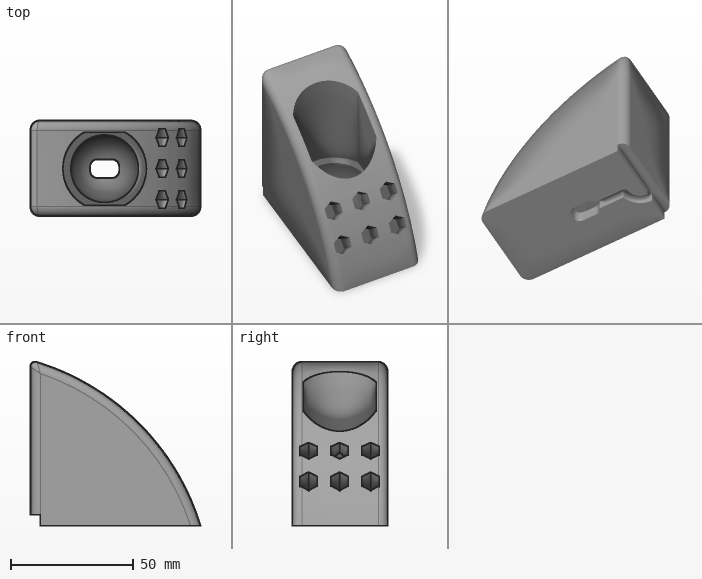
import cadquery as cq
import math

BODY_LENGTH = 69.79
BODY_WIDTH = 39.3
ARCH_RADIUS = 101.6
ARCH_CENTER_X = -27.32
ARCH_CENTER_Z = -math.sqrt(ARCH_RADIUS**2 - (BODY_LENGTH - ARCH_CENTER_X) ** 2)

SIDE_FILLET = 4.0
CREST_FILLET = 2.0

REBATE_DEPTH = 4.0
REBATE_HEIGHT = 4.5

WELL_X = 30.44
WELL_Y = -0.15
WELL_RADIUS = 17.1
WELL_FLATS = 30.0
BOWL_RADIUS = 13.85
BOWL_FLOOR = 5.0
WELL_FLOOR_Z = BOWL_FLOOR + BOWL_RADIUS
SLOT_LENGTH = 11.8
SLOT_WIDTH = 7.5
SLOT_CORNER = 2.8

SOCKET_SIDES = 6
SOCKET_FLATS = 7.1
SOCKET_TILT = 45.0
SOCKET_DEPTH = 10.0
SOCKET_PITCH_Y = 12.7
SOCKET_COLUMNS_X = (54.1, 62.1)
SOCKET_OVERSHOOT = 10.0

GROOVE_WIDTH = 3.6
GROOVE_START_Y = -7.3
GROOVE_BEND_RADIUS = 8.0
GROOVE_HEIGHT = REBATE_HEIGHT


def arch_height(x):
    """Height of the arched surface above the base at a given X."""
    return ARCH_CENTER_Z + math.sqrt(ARCH_RADIUS**2 - (x - ARCH_CENTER_X) ** 2)


def make_body():
    """Arched wedge with rounded side outlines and a rounded crest."""
    crest_z = arch_height(0)
    middle_x = BODY_LENGTH / 2
    body = (
        cq.Workplane("XZ")
        .lineTo(BODY_LENGTH, 0)
        .threePointArc((middle_x, arch_height(middle_x)), (0, crest_z))
        .close()
        .extrude(BODY_WIDTH / 2, both=True)
    )
    body = body.faces("<Y or >Y").edges("not <Z").fillet(SIDE_FILLET)
    crest = body.edges(cq.NearestToPointSelector((0, 0, crest_z)))
    return crest.fillet(CREST_FILLET)


def make_rebate():
    """Block centred on the lower back edge, so that half its size cuts each way."""
    return cq.Workplane("XY").box(2 * REBATE_DEPTH, BODY_WIDTH, 2 * REBATE_HEIGHT)


def make_well():
    """Flat-sided round well, with the bowl and the through slot below it."""
    well_height = arch_height(0) - WELL_FLOOR_Z
    center = (WELL_X, WELL_Y, WELL_FLOOR_Z)
    flats = cq.Workplane("XY", origin=center).box(
        2 * WELL_RADIUS, WELL_FLATS, well_height, centered=(True, True, False)
    )
    well = cq.Workplane("XY", origin=center).circle(WELL_RADIUS).extrude(well_height)
    bowl = cq.Workplane("XY", origin=center).sphere(BOWL_RADIUS)
    slot = (
        cq.Workplane("XY", origin=(WELL_X, WELL_Y, 0))
        .rect(SLOT_LENGTH, SLOT_WIDTH)
        .extrude(WELL_FLOOR_Z)
        .edges("|Z")
        .fillet(SLOT_CORNER)
    )
    return well.intersect(flats).union(bowl).union(slot)


def make_socket(x, y):
    """Hexagonal prism on a tilted axis, with a corner at its top and bottom."""
    tilt = math.radians(SOCKET_TILT)
    axis = (math.cos(tilt), 0, math.sin(tilt))
    corner_direction = (-math.sin(tilt), 0, math.cos(tilt))
    mouth = cq.Plane(origin=(x, y, arch_height(x)), xDir=corner_direction, normal=axis)
    corner_diameter = SOCKET_FLATS / math.cos(math.pi / SOCKET_SIDES)
    return (
        cq.Workplane(mouth)
        .workplane(offset=-SOCKET_DEPTH)
        .polygon(SOCKET_SIDES, corner_diameter)
        .extrude(SOCKET_DEPTH + SOCKET_OVERSHOOT)
    )


def make_groove():
    """Constant-width groove that leaves the rebate along X, bends and runs on to the slot."""
    rise = WELL_Y - GROOVE_START_Y
    bend_angle = math.acos(1 - rise / GROOVE_BEND_RADIUS)
    half_angle = bend_angle / 2

    def bend_point(angle):
        x = REBATE_DEPTH + GROOVE_BEND_RADIUS * math.sin(angle)
        y = GROOVE_START_Y + GROOVE_BEND_RADIUS * (1 - math.cos(angle))
        return (x, y)

    return (
        cq.Workplane("XY")
        .moveTo(0, GROOVE_START_Y)
        .lineTo(REBATE_DEPTH, GROOVE_START_Y)
        .threePointArc(bend_point(half_angle), bend_point(bend_angle))
        .lineTo(WELL_X, WELL_Y)
        .wire()
        .offset2D(GROOVE_WIDTH / 2)
        .extrude(GROOVE_HEIGHT)
    )


result = make_body().cut(make_rebate()).cut(make_well()).cut(make_groove())
for column_x in SOCKET_COLUMNS_X:
    for row in (-1, 0, 1):
        result = result.cut(make_socket(column_x, WELL_Y + row * SOCKET_PITCH_Y))